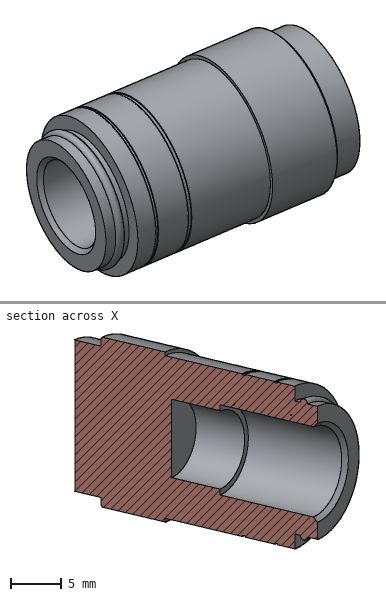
import cadquery as cq

length = 30.0
collar_radius = 9.0

nose_radius = 7.05
nose_length = 2.8
barrel_radius = 8.6
collar_start = 18.78
collar_end = 26.75
collar_chamfer = 0.2
tail_radius = 8.0

ring_section_radius = 0.5
ring_outer_radius = 7.47
ring_position = 1.68

groove_depth = 0.12
grooves = [(4.98, 0.3), (8.9, 0.4)]

bore_radius = 4.75
bore_depth = 12.0
bore_chamfer = 0.48
inner_bore_radius = 4.1
inner_bore_depth = 18.0


def cylinder(radius, start, end):
    """Solid cylinder on the Y axis between two Y positions."""
    plane = cq.Workplane("XZ", origin=(0, start, 0))
    return plane.circle(radius).extrude(start - end)


def outer_body():
    nose = cylinder(nose_radius, 0, nose_length)
    barrel = cylinder(barrel_radius, nose_length, collar_start)
    collar = cylinder(collar_radius, collar_start, collar_end).faces(">Y").chamfer(collar_chamfer)
    tail = cylinder(tail_radius, collar_end, length)
    return nose.union(barrel).union(collar).union(tail)


def sealing_ring():
    center_radius = ring_outer_radius - ring_section_radius
    section = cq.Workplane("XY").center(center_radius, ring_position).circle(ring_section_radius)
    return section.revolve(360, (-center_radius, 0), (-center_radius, 1))


def barrel_groove(start, width):
    outside = cylinder(barrel_radius, start, start + width)
    core = cylinder(barrel_radius - groove_depth, start, start + width)
    return outside.cut(core)


def stepped_bore():
    main = cylinder(bore_radius, 0, bore_depth)
    inner = cylinder(inner_bore_radius, bore_depth, inner_bore_depth)
    mouth_radius = bore_radius + bore_chamfer
    mouth = cylinder(mouth_radius, 0, bore_chamfer * 2).faces(">Y").chamfer(bore_chamfer)
    mouth = mouth.translate((0, -bore_chamfer, 0))
    return main.union(inner).union(mouth)


result = outer_body().union(sealing_ring())
for groove_start, groove_width in grooves:
    result = result.cut(barrel_groove(groove_start, groove_width))
result = result.cut(stepped_bore())